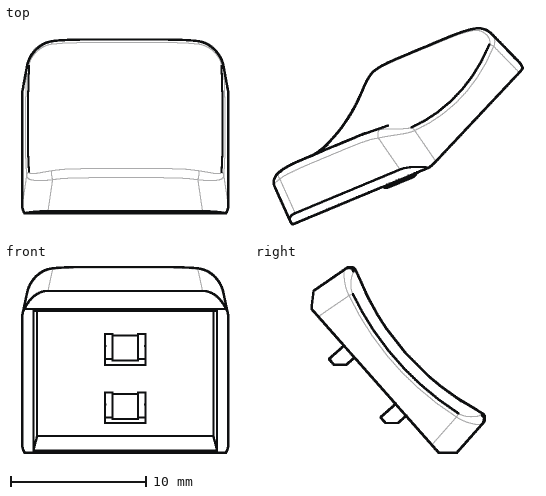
import cadquery as cq
import math


TILT = 48.5
BASE_WIDTH = 15.23
BASE_LENGTH = 16.22
WALL_DRAFT = 7.0
CORNER_RADIUS = 1.8
BLANK_HEIGHT = 6.0

END_CUT_HEIGHT = 1.0

DISH_HEIGHT = 3.05
DISH_RISE = 1.72
SIDE_DROP = 1.2
SIDE_DROP_POWER = 6
END_DROP_GAIN = 0.35
DISH_SAMPLES = 16
DISH_TOLERANCE = 0.005
DISH_DEGREE = 5
RIM_RADIUS = 0.45

POCKET_WIDTH = 13.57
POCKET_LENGTH = 13.75
POCKET_DEPTH = 1.3
POCKET_DRAFT = 12.0

STEM_SPACING = 5.75
STEM_WIDTH = 2.96
STEM_THICKNESS = 1.18
STEM_PROJECTION = 1.49
STEM_TIP_CUT = 0.6
GROOVE_WIDTH = 1.85
GROOVE_DEPTH = 0.15

CUT_SLOPE = math.tan(math.radians(TILT))
HALF_WIDTH = BASE_WIDTH / 2
HALF_LENGTH = BASE_LENGTH / 2


def make_blank():
    """Drafted block with rounded corners."""
    block = cq.Workplane("XY").rect(BASE_WIDTH, BASE_LENGTH).extrude(BLANK_HEIGHT, taper=WALL_DRAFT)
    upright_edges = block.edges("not(#Z)")
    return upright_edges.fillet(CORNER_RADIUS)


def dish_height(x, y):
    """Height of the top surface: it climbs to both ends and falls to both sides."""
    along = (y / HALF_LENGTH) ** 2
    across = (x / HALF_WIDTH) ** SIDE_DROP_POWER
    rise = DISH_RISE * along
    drop = SIDE_DROP * across * (1 + END_DROP_GAIN * along)
    return DISH_HEIGHT + rise - drop


def make_dish_cutter():
    """Everything above the dished top surface."""
    steps = [2 * i / DISH_SAMPLES - 1 for i in range(DISH_SAMPLES + 1)]
    x_values = [step * HALF_WIDTH for step in steps]
    y_values = [step * HALF_LENGTH for step in steps]
    grid = [[cq.Vector(x, y, dish_height(x, y)) for y in y_values] for x in x_values]
    surface = cq.Face.makeSplineApprox(grid, tol=DISH_TOLERANCE, maxDeg=DISH_DEGREE)
    return cq.Workplane(cq.Solid.extrudeLinear(surface, cq.Vector(0, 0, BLANK_HEIGHT)))


def make_end_cutter(side):
    """Wedge removing the foot of the end wall on the given side (+1 or -1 along Y)."""
    wall_y = HALF_LENGTH - END_CUT_HEIGHT * math.tan(math.radians(WALL_DRAFT))
    foot_y = wall_y - END_CUT_HEIGHT / CUT_SLOPE
    outer_y = BASE_LENGTH
    outer_z = (outer_y - foot_y) * CUT_SLOPE
    return (
        cq.Workplane("YZ")
        .polyline([(side * foot_y, 0), (side * outer_y, 0), (side * outer_y, outer_z)])
        .close()
        .extrude(HALF_WIDTH, both=True)
    )


def make_pocket():
    """Drafted pocket in the underside."""
    opening = cq.Workplane("XY").rect(POCKET_WIDTH, POCKET_LENGTH)
    return opening.extrude(POCKET_DEPTH, taper=POCKET_DRAFT)


def make_stem(center_y):
    """Stem standing on the pocket floor, with a level tip cut and a groove on the -Y face."""
    upper_y = center_y - STEM_THICKNESS / 2
    lower_y = center_y + STEM_THICKNESS / 2
    tip_z = -STEM_PROJECTION
    stem = (
        cq.Workplane("YZ")
        .moveTo(upper_y, POCKET_DEPTH)
        .lineTo(upper_y, tip_z)
        .lineTo(lower_y - STEM_TIP_CUT, tip_z)
        .lineTo(lower_y, tip_z + STEM_TIP_CUT * CUT_SLOPE)
        .lineTo(lower_y, POCKET_DEPTH)
        .close()
        .extrude(STEM_WIDTH / 2, both=True)
    )
    stem_height = POCKET_DEPTH + STEM_PROJECTION
    groove = (
        cq.Workplane("XY")
        .box(GROOVE_WIDTH, 2 * GROOVE_DEPTH, stem_height)
        .translate((0, upper_y, tip_z + stem_height / 2))
    )
    return stem.cut(groove)


cap = make_blank().cut(make_dish_cutter())
dish_face = cap.faces(">Z")
cap = dish_face.edges().fillet(RIM_RADIUS)
for end_side in (-1, 1):
    cap = cap.cut(make_end_cutter(end_side))
cap = cap.cut(make_pocket())
for stem_side in (-1, 1):
    cap = cap.union(make_stem(stem_side * STEM_SPACING / 2))

result = cap.rotate((0, 0, 0), (1, 0, 0), -TILT)